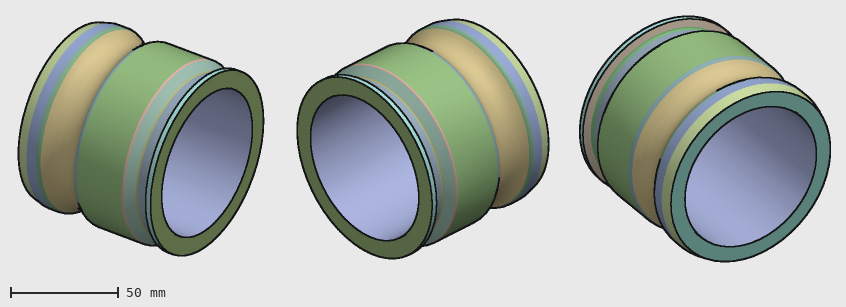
import cadquery as cq
import math

length = 76.2
body_radius = 91.4 / 2
bore_radius = 72.85 / 2

lead_length = 5.7
lead_angle = math.radians(15)

groove_start = 11.1
groove_end = 34.5
groove_depth = 4.8
groove_edge_radius = 3.0

neck_radius = 81.9 / 2
neck_fillet = 1.5
neck_start = 65.9
neck_end = 70.75
shoulder_angle = math.radians(45)

flange_radius = 90.9 / 2
flange_slope = math.radians(20)


def point_on_circle(center, radius, angle):
    """Point (x, r) on a circle, with the angle measured from the +r direction toward +X."""
    return (center[0] + radius * math.sin(angle), center[1] + radius * math.cos(angle))


def add_cam_groove(outline):
    """Edge fillet, concave arc and mirrored edge fillet, all tangent to each other."""
    middle = (groove_start + groove_end) / 2
    half_width = middle - groove_start
    center_distance = (half_width**2 + groove_depth**2) / (2 * groove_depth)
    blend_angle = math.asin(half_width / center_distance)

    fillet_height = body_radius - groove_edge_radius
    left_center = (groove_start, fillet_height)
    right_center = (groove_end, fillet_height)
    return (
        outline.lineTo(groove_start, body_radius)
        .threePointArc(
            point_on_circle(left_center, groove_edge_radius, blend_angle / 2),
            point_on_circle(left_center, groove_edge_radius, blend_angle),
        )
        .threePointArc(
            (middle, body_radius - groove_depth),
            point_on_circle(right_center, groove_edge_radius, -blend_angle),
        )
        .threePointArc(
            point_on_circle(right_center, groove_edge_radius, -blend_angle / 2),
            (groove_end, body_radius),
        )
    )


def add_shoulder(outline):
    """Conical step from the body down to the neck, rounded at both ends."""
    fillet_drop = neck_fillet * (1 - math.cos(shoulder_angle))
    cone_drop = body_radius - neck_radius - 2 * fillet_drop
    cone_length = cone_drop / math.tan(shoulder_angle)
    shoulder_start = neck_start - cone_length - 2 * neck_fillet * math.sin(shoulder_angle)

    upper_center = (shoulder_start, body_radius - neck_fillet)
    lower_center = (neck_start, neck_radius + neck_fillet)
    return (
        outline.lineTo(shoulder_start, body_radius)
        .threePointArc(
            point_on_circle(upper_center, neck_fillet, shoulder_angle / 2),
            point_on_circle(upper_center, neck_fillet, shoulder_angle),
        )
        .lineTo(*point_on_circle(lower_center, neck_fillet, math.pi + shoulder_angle))
        .threePointArc(
            point_on_circle(lower_center, neck_fillet, math.pi + shoulder_angle / 2),
            (neck_start, neck_radius),
        )
    )


def add_flange(outline):
    """Neck, root fillet, sloped face and rim of the flange."""
    turn = math.pi / 2 - flange_slope
    root_center = (neck_end, neck_radius + neck_fillet)
    slope_start = point_on_circle(root_center, neck_fillet, math.pi - turn)
    rim_start = slope_start[0] + (flange_radius - slope_start[1]) * math.tan(flange_slope)
    return (
        outline.lineTo(neck_end, neck_radius)
        .threePointArc(
            point_on_circle(root_center, neck_fillet, math.pi - turn / 2),
            slope_start,
        )
        .lineTo(rim_start, flange_radius)
        .lineTo(length, flange_radius)
    )


lead_radius = body_radius - lead_length * math.tan(lead_angle)
profile = (
    cq.Workplane("XY")
    .moveTo(0, bore_radius)
    .lineTo(0, lead_radius)
    .lineTo(lead_length, body_radius)
)
profile = add_cam_groove(profile)
profile = add_shoulder(profile)
profile = add_flange(profile)
profile = profile.lineTo(length, bore_radius).close()

result = profile.revolve(360, (0, 0, 0), (1, 0, 0))